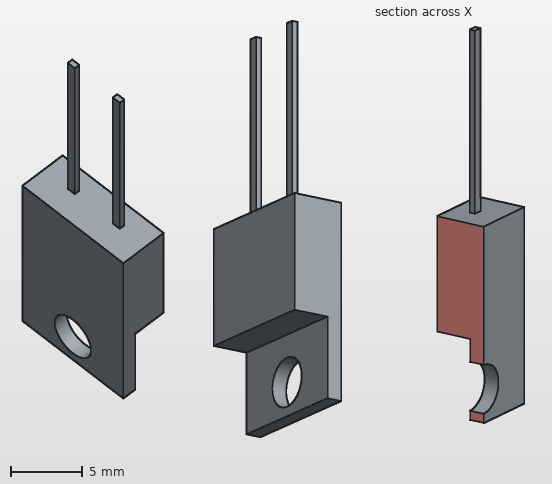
import cadquery as cq

total_height = 28.3
body_width = 10.1
body_depth = 4.0
body_height = 14.65

tab_thickness = 1.2
tab_height = 6.03
hole_diameter = 3.62
hole_height = 2.52

lead_width = 0.7
lead_thickness = 0.45
lead_spacing = 4.5
lead_setback = 2.3

lead_length = total_height - body_height


def make_body():
    """Stepped block: thin tab at the bottom, thick housing above."""
    profile = [
        (0, 0),
        (tab_thickness, 0),
        (tab_thickness, tab_height),
        (body_depth, tab_height),
        (body_depth, body_height),
        (0, body_height),
    ]
    return cq.Workplane("YZ").polyline(profile).close().extrude(body_width / 2, both=True)


def make_hole():
    """Cutter for the round mounting hole through the tab."""
    return (
        cq.Workplane("XZ")
        .center(0, hole_height)
        .circle(hole_diameter / 2)
        .extrude(-tab_thickness)
    )


def make_leads():
    """Pair of rectangular leads, symmetric about the middle of the body."""
    return (
        cq.Workplane("XY", origin=(0, lead_setback, body_height))
        .pushPoints([(-lead_spacing / 2, 0), (lead_spacing / 2, 0)])
        .rect(lead_width, lead_thickness)
        .extrude(lead_length)
    )


result = make_body().cut(make_hole()).union(make_leads())